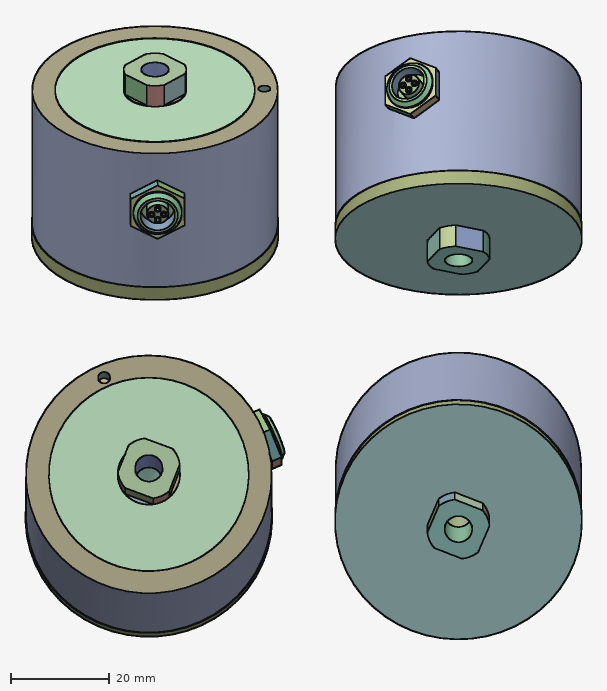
import cadquery as cq
import math

housing_diameter = 50.0
flange_diameter = 50.25
flange_height = 3.0
housing_height = 34.8

cover_diameter = 40.65
cover_recess = 0.15

rim_hole_diameter = 2.4
rim_hole_depth = 5.05
rim_hole_offset = 15.75

stud_diameter = 12.7
stud_length = 4.8
stud_width_across_flats = 11.15
stud_hole_diameter = 5.6
stud_hole_depth = 10.05
drill_point_angle = 118.0

connector_angle = -45.0
connector_height = 22.1
neck_diameter = 8.9
neck_start = 22.6
nut_start = 25.05
nut_thickness = 2.1
nut_across_corners = 12.7
collar_diameter = 9.9
collar_length = 1.3
collar_chamfer = 0.85
socket_diameter = 7.0
socket_depth = 3.3
insert_diameter = 4.4
insert_recess = 0.55

contact_count = 4
contact_offset = 1.25
sleeve_diameter = 1.25
sleeve_height = 0.2
sleeve_bore_diameter = 0.7
sleeve_bore_depth = 1.0


def make_housing():
    body = cq.Workplane("XY").circle(housing_diameter / 2).extrude(housing_height)
    flange = cq.Workplane("XY").circle(flange_diameter / 2).extrude(flange_height)
    cover_pocket = (
        cq.Workplane("XY", origin=(0, 0, housing_height - cover_recess))
        .circle(cover_diameter / 2)
        .circle(stud_diameter / 2)
        .extrude(cover_recess)
    )
    rim_hole = (
        cq.Workplane("XY", origin=(rim_hole_offset, rim_hole_offset, housing_height - rim_hole_depth))
        .circle(rim_hole_diameter / 2)
        .extrude(rim_hole_depth)
    )
    return body.union(flange).cut(cover_pocket).cut(rim_hole)


def make_stud():
    """Upper stud: a round bar trimmed by a square."""
    bar = cq.Workplane("XY", origin=(0, 0, housing_height)).circle(stud_diameter / 2).extrude(stud_length)
    square = (
        cq.Workplane("XY", origin=(0, 0, housing_height))
        .rect(stud_width_across_flats, stud_width_across_flats)
        .extrude(stud_length)
    )
    return bar.intersect(square)


def make_stud_hole():
    """Drilled hole of the upper stud with a conical bottom."""
    radius = stud_hole_diameter / 2
    top = housing_height + stud_length
    shoulder = top - stud_hole_depth
    tip = shoulder - radius / math.tan(math.radians(drill_point_angle / 2))
    return (
        cq.Workplane("XZ")
        .moveTo(0, top)
        .lineTo(radius, top)
        .lineTo(radius, shoulder)
        .lineTo(0, tip)
        .close()
        .revolve(360, (0, 0, 0), (0, 1, 0))
    )


def mirror_to_bottom(shape):
    return shape.mirror("XY", (0, 0, housing_height / 2))


def connector_plane(distance):
    """Workplane facing outward along the connector axis; its local Y is vertical."""
    angle = math.radians(connector_angle)
    outward = (math.cos(angle), math.sin(angle), 0)
    sideways = (-math.sin(angle), math.cos(angle), 0)
    origin = (distance * outward[0], distance * outward[1], connector_height)
    return cq.Workplane(cq.Plane(origin=origin, xDir=sideways, normal=outward))


def add_connector(body):
    collar_start = nut_start + nut_thickness
    collar_end = collar_start + collar_length
    socket_floor = collar_end - socket_depth
    insert_end = collar_end - insert_recess
    sleeve_end = insert_end + sleeve_height

    neck = connector_plane(neck_start).circle(neck_diameter / 2).extrude(nut_start - neck_start)
    nut = (
        connector_plane(nut_start)
        .transformed(rotate=(0, 0, 90))
        .polygon(6, nut_across_corners)
        .extrude(nut_thickness)
    )
    collar = (
        connector_plane(collar_start)
        .circle(collar_diameter / 2)
        .extrude(collar_length)
        .faces(cq.selectors.DirectionMinMaxSelector(connector_plane(0).plane.zDir))
        .edges()
        .chamfer(collar_chamfer)
    )
    socket = connector_plane(socket_floor).circle(socket_diameter / 2).extrude(socket_depth)
    insert = connector_plane(socket_floor).circle(insert_diameter / 2).extrude(insert_end - socket_floor)
    sleeves = (
        connector_plane(insert_end)
        .polarArray(contact_offset, 0, 360, contact_count)
        .circle(sleeve_diameter / 2)
        .extrude(sleeve_height)
    )
    bores = (
        connector_plane(sleeve_end - sleeve_bore_depth)
        .polarArray(contact_offset, 0, 360, contact_count)
        .circle(sleeve_bore_diameter / 2)
        .extrude(sleeve_bore_depth)
    )
    shell = body.union(neck).union(nut).union(collar).cut(socket)
    return shell.union(insert).union(sleeves).cut(bores)


upper_stud = make_stud()
upper_hole = make_stud_hole()
result = make_housing().union(upper_stud).union(mirror_to_bottom(upper_stud))
result = result.cut(upper_hole).cut(mirror_to_bottom(upper_hole))
result = add_connector(result)